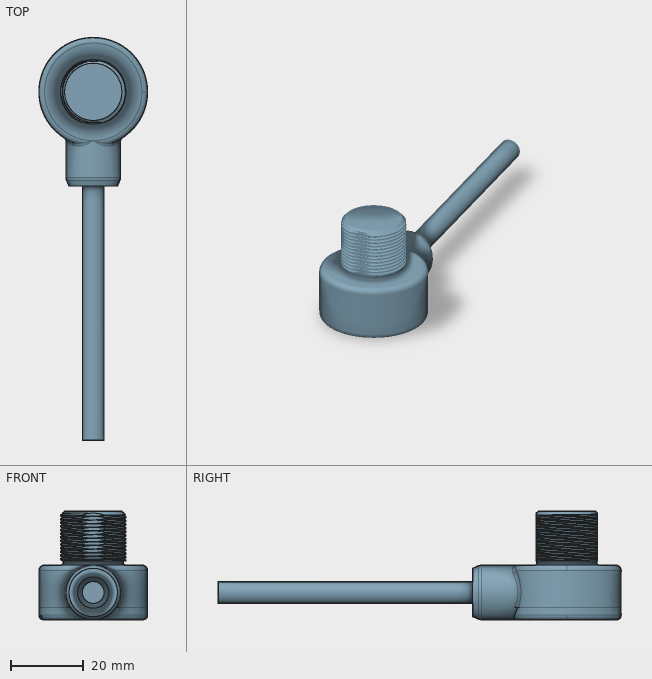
import cadquery as cq
head_diameter = 30.0
total_height = 30.0
head_radius = head_diameter / 2
head_height = 15.1
head_top_round = 1.5
head_bottom_round = 1.3
foot_height = 3.4

spout_radius = head_height / 2
spout_axis_height = head_height / 2
spout_end_y = -26.0
spout_bevel_length = 2.0
spout_bevel_depth = 0.9
spout_bevel_round = 2.0
spout_root_round = 1.0

total_length = 111.0
cable_radius = 3.0
cable_end_y = head_radius - total_length
socket_floor_y = -head_radius
socket_mouth_chamfer = 1.3

stud_radius = 9.0
stud_height = total_height - head_height
stud_tip_chamfer = 1.1
flat_distance = 8.4
neck_radius = 8.3
neck_height = 1.1
neck_base_round = 0.5
thread_pitch = 1.0
thread_turns = round((stud_height - neck_height) / thread_pitch)
thread_root_radius = 8.38
groove_half_width = 0.4
groove_overshoot = 0.2


def cylinder_along_y(radius, start_y, end_y):
    """Cylinder on the spout axis, running from start_y in the -Y direction to end_y."""
    return (
        cq.Workplane("XZ", origin=(0, start_y, spout_axis_height))
        .circle(radius)
        .extrude(start_y - end_y)
    )


def make_head():
    head = cq.Workplane("XY").circle(head_radius).extrude(head_height)
    head = head.faces(">Z").edges().fillet(head_top_round)
    return head.faces("<Z").edges().fillet(head_bottom_round)


def make_spout():
    """Spout with a long bevel at its free end, rounded where the bevel meets the side."""
    spout = cylinder_along_y(spout_radius, 0, spout_end_y)
    spout = spout.faces("<Y").edges().chamfer(spout_bevel_length, spout_bevel_depth)
    bevel_start = cq.selectors.NearestToPointSelector(
        (0, spout_end_y + spout_bevel_length, spout_axis_height)
    )
    return spout.edges("%CIRCLE").edges(bevel_start).fillet(spout_bevel_round)


def make_shell():
    """Head and spout in one piece, with the corner between them rounded above the foot."""
    head = make_head()
    spout = make_spout()
    foot_zone = cq.Workplane("XY").rect(2 * total_length, 2 * total_length).extrude(foot_height)
    head_zone = cq.selectors.BoxSelector(
        (-head_radius, -head_radius, 0), (head_radius, head_radius, head_height)
    )
    foot = head.intersect(foot_zone).union(spout.intersect(foot_zone))
    upper = head.cut(foot_zone).union(spout.cut(foot_zone))
    upper = upper.edges("%BSPLINE").edges(head_zone).fillet(spout_root_round)
    return upper.union(foot)


def cable_socket():
    """Blind bore for the cable, with a cone that widens it at the spout's end face."""
    bore = [
        (0, spout_end_y),
        (cable_radius + socket_mouth_chamfer, spout_end_y),
        (cable_radius, spout_end_y + socket_mouth_chamfer),
        (cable_radius, socket_floor_y),
        (0, socket_floor_y),
    ]
    profile = cq.Workplane("XY", origin=(0, 0, spout_axis_height)).polyline(bore).close()
    return profile.revolve(360, (0, 0, 0), (0, 1, 0))


def make_housing():
    return make_shell().cut(cable_socket())


def make_cable():
    return cylinder_along_y(cable_radius, socket_floor_y, cable_end_y)


def stud_blank():
    """Unthreaded stud: flared foot, undercut neck and a cylinder with a chamfered tip."""
    tip_radius = stud_radius - stud_tip_chamfer
    profile = (
        cq.Workplane("XZ", origin=(0, 0, head_height))
        .lineTo(neck_radius + neck_base_round, 0)
        .radiusArc((neck_radius, neck_base_round), neck_base_round)
        .lineTo(neck_radius, neck_height)
        .lineTo(stud_radius, neck_height)
        .lineTo(stud_radius, stud_height - stud_tip_chamfer)
        .lineTo(tip_radius, stud_height)
        .lineTo(0, stud_height)
        .close()
    )
    return profile.revolve(360, (0, 0, 0), (0, 1, 0))


def groove_turn():
    """First turn of the V groove; it starts in the undercut neck."""
    start_height = head_height + neck_height - groove_half_width
    helix = cq.Wire.makeHelix(
        thread_pitch, thread_pitch, thread_root_radius, center=cq.Vector(0, 0, start_height)
    )
    outer_radius = stud_radius + groove_overshoot
    profile = cq.Workplane("XZ").polyline(
        [
            (thread_root_radius, start_height),
            (outer_radius, start_height + groove_half_width),
            (outer_radius, start_height - groove_half_width),
        ]
    )
    return profile.close().sweep(cq.Workplane(helix), isFrenet=True)


def flat_cutter(side):
    """Block that trims the threaded length to a flat facing +Y (side 1) or -Y (side -1)."""
    return (
        cq.Workplane("XZ", origin=(0, side * flat_distance, head_height + neck_height))
        .center(0, stud_height / 2)
        .rect(2 * stud_radius, stud_height)
        .extrude(-side * stud_radius)
    )


def make_stud():
    stud = stud_blank()
    turn = groove_turn()
    for index in range(thread_turns):
        stud = stud.cut(turn.translate((0, 0, index * thread_pitch)), clean=False)
    for side in (-1, 1):
        stud = stud.cut(flat_cutter(side))
    return stud


housing = make_housing()
cable = make_cable()
stud = make_stud()

result = cq.Compound.makeCompound([housing.val(), cable.val(), stud.val()])